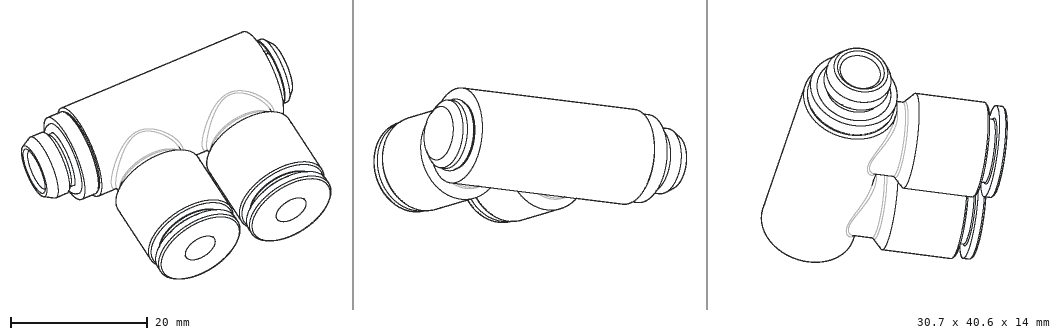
import cadquery as cq
import math


overall_length = 40.6

body_diameter = 14.0
body_radius = body_diameter / 2
body_length = 30.0

port_pitch = body_length / 2
port_positions = [port_pitch / 2, body_length - port_pitch / 2]
port_neck_radius = 5.5
port_body_radius = body_radius
port_body_start = 10.4
port_body_end = 21.0
port_edge_chamfer = 0.3
port_lip_radius = 5.4
port_lip_end = 21.1
collet_radius = 4.65
collet_flare = 0.2
flange_radius = 6.75
flange_start = 22.45
flange_end = 23.65
port_fillet = 0.5

front_gap = 0.25
front_gap_radius = 6.35
collar_radius = 6.5
collar_end = -2.5
seal_section_radius = 0.7
stub_neck_radius = 4.15
stub_neck_end = -3.55
stub_radius = 4.85
stub_start = -4.2
stub_chamfer_start = -6.05
stub_tip_radius = 4.0
stub_tip = -7.5

plug_radius = 5.0
plug_chamfer_start = 32.07
plug_tip_radius = 3.95
plug_tip = stub_tip + overall_length
groove_floor_radius = 4.3
groove_start = body_length + 0.15
groove_end = 31.3
ring_section_radius = 0.53
ring_radius = 4.75
ring_slot_width = 0.55

bore_radius = 3.0
bore_chamfer = 0.5
bore_chamfer_depth = 0.5
drill_tip_angle = 118
bore_tip = 25.5
port_hole_radius = 2.48


def revolve_about_y(outline):
    """Close a (radius, y) outline and revolve it about the manifold axis."""
    return outline.close().revolve(360, (0, 0, 0), (0, 1, 0))


def make_port(position):
    """Stepped port turned about an X axis at the given Y, starting on the manifold axis."""
    shoulder_start = port_body_start - (port_body_radius - port_neck_radius)
    points = [
        (0, 0),
        (0, port_neck_radius),
        (shoulder_start, port_neck_radius),
        (port_body_start, port_body_radius),
        (port_body_end - port_edge_chamfer, port_body_radius),
        (port_body_end, port_body_radius - port_edge_chamfer),
        (port_body_end, port_lip_radius),
        (port_lip_end, port_lip_radius),
        (port_lip_end, collet_radius),
        (flange_start - collet_flare, collet_radius),
        (flange_start, collet_radius + collet_flare),
        (flange_start, flange_radius),
        (flange_end - port_edge_chamfer, flange_radius),
        (flange_end, flange_radius - port_edge_chamfer),
        (flange_end, 0),
    ]
    port = cq.Workplane("XY").polyline(points).close().revolve(360, (0, 0, 0), (1, 0, 0))
    shoulder_foot = cq.selectors.NearestToPointSelector((shoulder_start, 0, 0))
    return port.edges(shoulder_foot).fillet(port_fillet).translate((0, position, 0))


def make_body():
    """Cylindrical body with both ports, blended where the necks meet it."""
    body = revolve_about_y(cq.Workplane("XY").polyline([
        (0, 0),
        (body_radius, 0),
        (body_radius, body_length),
        (0, body_length),
    ])).rotate((0, 0, 0), (0, 1, 0), 180)
    for position in port_positions:
        body = body.union(make_port(position))
        neck_joint = cq.selectors.NearestToPointSelector((body_radius, position, 0))
        body = body.edges(neck_joint).fillet(port_fillet)
    return body


def make_front_end():
    """Collar, O-ring and grooved stub in front of the body."""
    seal_radius = stub_neck_radius + seal_section_radius
    outline = (
        cq.Workplane("XY")
        .moveTo(0, 0)
        .lineTo(front_gap_radius, 0)
        .lineTo(front_gap_radius, -front_gap)
        .lineTo(collar_radius, -front_gap)
        .lineTo(collar_radius, collar_end)
        .lineTo(seal_radius + seal_section_radius, collar_end)
        .threePointArc(
            (seal_radius, collar_end - seal_section_radius),
            (stub_neck_radius, collar_end),
        )
        .lineTo(stub_neck_radius, stub_neck_end)
        .lineTo(stub_radius, stub_start)
        .lineTo(stub_radius, stub_chamfer_start)
        .lineTo(stub_tip_radius, stub_tip)
        .lineTo(0, stub_tip)
    )
    return revolve_about_y(outline)


def make_rear_end():
    """Chamfered plug behind the body, with a split round-section ring in its groove."""
    plug = revolve_about_y(cq.Workplane("XY").polyline([
        (0, body_length),
        (plug_radius, body_length),
        (plug_radius, groove_start),
        (groove_floor_radius, groove_start),
        (groove_floor_radius, groove_end),
        (plug_radius, groove_end),
        (plug_radius, plug_chamfer_start),
        (plug_tip_radius, plug_tip),
        (0, plug_tip),
    ]))
    ring_position = groove_start + ring_section_radius
    seat_half_width = math.sqrt(ring_section_radius**2 - (ring_radius - groove_floor_radius) ** 2)
    ring = revolve_about_y(
        cq.Workplane("XY")
        .moveTo(groove_floor_radius, ring_position - seat_half_width)
        .threePointArc(
            (ring_radius + ring_section_radius, ring_position),
            (groove_floor_radius, ring_position + seat_half_width),
        )
    )
    split = cq.Workplane("XY").box(
        ring_slot_width, 2 * ring_section_radius, 2 * ring_radius, centered=(True, True, False)
    )
    return plug.union(ring.cut(split.translate((0, ring_position, 0))))


def make_passages():
    """Drilled main bore with a chamfered mouth, and one cross hole through each port."""
    cone_height = bore_radius / math.tan(math.radians(drill_tip_angle / 2))
    passages = revolve_about_y(cq.Workplane("XY").polyline([
        (0, stub_tip),
        (bore_radius + bore_chamfer, stub_tip),
        (bore_radius, stub_tip + bore_chamfer_depth),
        (bore_radius, bore_tip - cone_height),
        (0, bore_tip),
    ]))
    for position in port_positions:
        hole = cq.Workplane("YZ").center(position, 0).circle(port_hole_radius).extrude(flange_end)
        passages = passages.union(hole)
    return passages


result = make_body().union(make_front_end()).union(make_rear_end()).cut(make_passages())